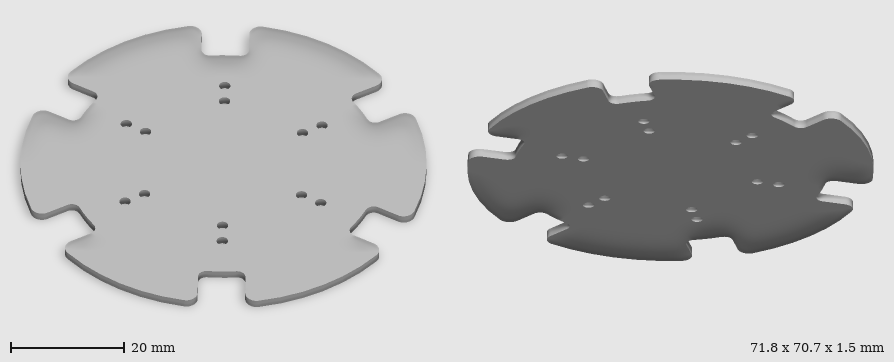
import cadquery as cq
import math

disc_radius = 35.9
thickness = 1.5

notch_count = 6
notch_width = 8.4
notch_floor_radius = 27.9
mouth_fillet = 2.0
floor_fillet = 1.5

hole_diameter = 2.0
hole_circle_radii = (16.0, 20.0)

pitch_angle = 360 / notch_count
first_angle = 90


def make_notch_cutter():
    """Radial bar along +X whose inner end follows the notch floor circle."""
    bar_length = 2 * disc_radius
    bar = (
        cq.Workplane("XY")
        .center(bar_length / 2, 0)
        .rect(bar_length, notch_width)
        .extrude(thickness)
    )
    core = cq.Workplane("XY").circle(notch_floor_radius).extrude(thickness)
    return bar.cut(core)


def cut_notches(plate):
    cutter = make_notch_cutter()
    for index in range(notch_count):
        angle = first_angle + index * pitch_angle
        plate = plate.cut(cutter.rotate((0, 0, 0), (0, 0, 1), angle))
    return plate


def round_corners(plate, inner_radius, outer_radius, fillet_radius):
    """Fillet the upright edges lying between two distances from the disc axis."""
    corners = []
    for edge in plate.edges("|Z").vals():
        center = edge.Center()
        if inner_radius < math.hypot(center.x, center.y) < outer_radius:
            corners.append(edge)
    return plate.newObject(corners).fillet(fillet_radius)


def drill_holes(plate):
    for radius in hole_circle_radii:
        holes = (
            cq.Workplane("XY")
            .polarArray(radius, first_angle, 360, notch_count)
            .circle(hole_diameter / 2)
            .extrude(thickness)
        )
        plate = plate.cut(holes)
    return plate


disc = cq.Workplane("XY").circle(disc_radius).extrude(thickness)
notched = cut_notches(disc)

notch_middle_radius = (notch_floor_radius + disc_radius) / 2
rounded = round_corners(notched, 0, notch_middle_radius, floor_fillet)
rounded = round_corners(rounded, notch_middle_radius, 2 * disc_radius, mouth_fillet)

result = drill_holes(rounded)